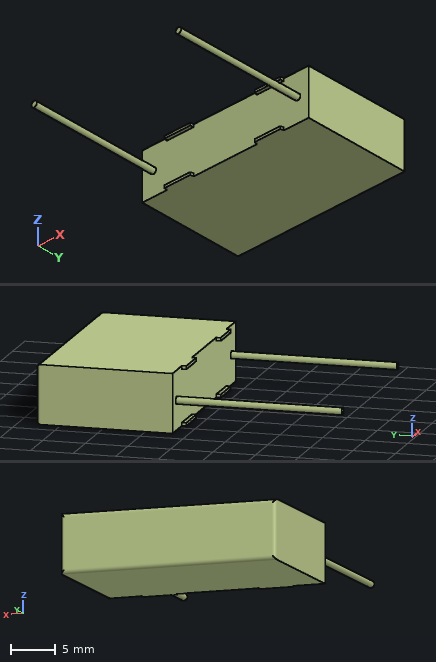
import cadquery as cq

total_length = 35.5
housing_width = 26.0
housing_height = 7.0
housing_depth = 16.0
back_edge_radius = 0.5

foot_spacing = 14.05
foot_root_width = 4.22
foot_taper = 0.1
foot_length = 0.5
foot_thickness = 0.4

lead_diameter = 0.9
lead_spacing = 22.5
lead_length = total_length - housing_depth



def make_block():
    """Rectangular block with its four back edges rounded."""
    block = cq.Workplane("XY").box(
        housing_width, housing_depth, housing_height, centered=(True, False, True)
    )
    return block.faces(">Y").edges().fillet(back_edge_radius)


def make_foot(center_x, bottom_z):
    """Tapered foot standing forward from the front face."""
    root_half = foot_root_width / 2
    tip_half = root_half - foot_taper
    outline = [
        (center_x - root_half, 0),
        (center_x - tip_half, -foot_length),
        (center_x + tip_half, -foot_length),
        (center_x + root_half, 0),
    ]
    return (
        cq.Workplane("XY", origin=(0, 0, bottom_z))
        .polyline(outline)
        .close()
        .extrude(foot_thickness)
    )


def make_housing():
    """Block with two feet along the lower front edge and two along the upper."""
    housing = make_block()
    lower_foot_z = -housing_height / 2
    upper_foot_z = housing_height / 2 - foot_thickness
    for center_x in (-foot_spacing / 2, foot_spacing / 2):
        for bottom_z in (lower_foot_z, upper_foot_z):
            housing = housing.union(make_foot(center_x, bottom_z))
    return housing


def make_lead(center_x):
    """Round wire running forward from the front face."""
    return (
        cq.Workplane("XZ")
        .center(center_x, 0)
        .circle(lead_diameter / 2)
        .extrude(lead_length)
    )


housing = make_housing()
leads = [make_lead(center_x) for center_x in (-lead_spacing / 2, lead_spacing / 2)]

result = cq.Compound.makeCompound([housing.val(), *[lead.val() for lead in leads]])